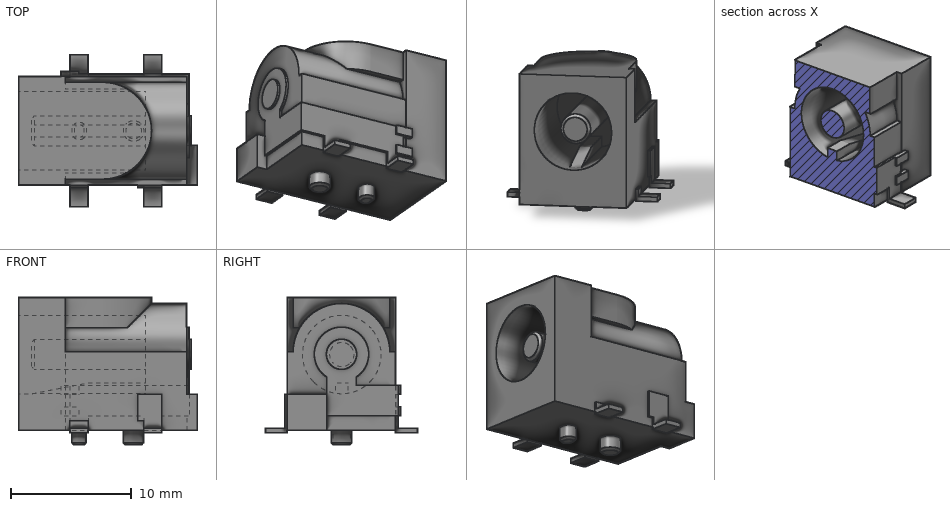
import cadquery as cq
import math


housing_width = 9.0
housing_height = 11.0
housing_length = 13.9
front_block_length = 3.87
contact_side_relief = 0.05
shelf_height = 6.5
barrel_radius = 4.0
nose_radius = barrel_radius
nose_center_x = 7.0
nose_underside = 8.5
half_width = housing_width / 2

lug_end_x = 14.8
lug_height = 3.0
lug_inner_y = -1.2

axis_height = 6.3
bore_radius = 6.5 / 2
bore_depth = 10.5
pin_radius = 2.5 / 2
pin_start_x = 1.05
pin_end_x = 14.3
pin_chamfer = 0.25

spring_width = 1.0
spring_start_x = 1.1
spring_angle = 11.0
spring_rise = 0.9

peg_length = 1.2
peg_chamfer = 0.2
front_peg_x = 5.0
front_peg_width = 1.2
front_peg_span = 1.45
rear_peg_x = 9.5
rear_peg_diameter = 1.7

strip_thickness = 0.2
foot_thickness = 0.4
foot_bottom = -0.2
foot_reach = 6.3
foot_width = 1.5
front_foot_x = 4.25
rear_foot_x = 10.35
leg_height = 0.8
wide_plate_x = 9.85

rear_disc_radius = 2.25
rear_arm_edge_y = -1.2
side_plate_bottom = 1.22
side_plate_top = 3.75
finger_start_x = 3.5
finger_end_x = 5.0
finger_height = 0.75
finger_thickness = 0.4


def box(x_range, y_range, z_range):
    """Axis-aligned box between the given limits."""
    size = [high - low for low, high in (x_range, y_range, z_range)]
    corner = (x_range[0], y_range[0], z_range[0])
    return cq.Workplane("XY").box(*size, centered=False).translate(corner)


def rod(radius, start_x, end_x, center_z):
    """Cylinder lying along X in the middle plane of the part."""
    return (
        cq.Workplane("YZ", origin=(start_x, 0, center_z))
        .circle(radius)
        .extrude(end_x - start_x)
    )


def make_housing():
    """Front block, nose, base and rear lug; the barrel axis lies at shelf height above the bore axis."""
    front_block = box((0, front_block_length), (-half_width, half_width), (0, housing_height))
    base = box(
        (front_block_length, housing_length),
        (-half_width, half_width - contact_side_relief),
        (0, shelf_height),
    )
    barrel = rod(barrel_radius, front_block_length, housing_length, shelf_height)
    nose_z = (nose_underside, housing_height)
    nose = box((front_block_length, nose_center_x), (-nose_radius, nose_radius), nose_z)
    nose_end = (
        cq.Workplane("XY", origin=(nose_center_x, 0, nose_underside))
        .circle(nose_radius)
        .extrude(housing_height - nose_underside)
    )
    lug = box((housing_length, lug_end_x), (-half_width, lug_inner_y), (0, lug_height))
    bore = rod(bore_radius, 0, bore_depth, axis_height)
    return front_block.union(base).union(barrel).union(nose).union(nose_end).union(lug).cut(bore)


def make_center_pin():
    """Centre pin with a chamfered tip, passing through to the rear."""
    return rod(pin_radius, pin_start_x, pin_end_x, axis_height).faces("<X").chamfer(pin_chamfer)


def make_spring():
    """Spring strip that ramps up out of the bore floor and then runs level to its back wall."""
    floor_z = axis_height - bore_radius
    root_z = floor_z - strip_thickness
    top_z = floor_z + spring_rise
    ramp_end_x = spring_start_x + spring_rise / math.tan(math.radians(spring_angle))
    return (
        cq.Workplane("XZ", origin=(0, spring_width / 2, 0))
        .moveTo(spring_start_x, root_z)
        .lineTo(spring_start_x, floor_z)
        .lineTo(ramp_end_x, top_z)
        .lineTo(bore_depth, top_z)
        .lineTo(bore_depth, root_z)
        .close()
        .extrude(spring_width)
    )


def make_pegs():
    """Oblong front peg and round rear peg, both chamfered at the tip."""
    front_peg = (
        cq.Workplane("XY", origin=(front_peg_x, 0, 0))
        .slot2D(front_peg_span, front_peg_width, 90)
        .extrude(-peg_length)
    )
    rear_peg = (
        cq.Workplane("XY", origin=(rear_peg_x, 0, 0))
        .circle(rear_peg_diameter / 2)
        .extrude(-peg_length)
    )
    return [peg.faces("<Z").chamfer(peg_chamfer) for peg in (front_peg, rear_peg)]


def make_terminal(start_x, leg_top, side, inner_y):
    """L-shaped terminal: a leg on the housing side and a foot reaching outwards."""
    x_range = (start_x, start_x + foot_width)
    leg_y = sorted((side * inner_y, side * (half_width + strip_thickness)))
    foot_y = sorted((side * inner_y, side * foot_reach))
    leg = box(x_range, leg_y, (foot_bottom, leg_top))
    foot = box(x_range, foot_y, (foot_bottom, foot_bottom + foot_thickness))
    return leg.union(foot)


def make_near_terminals():
    """Two terminals on the -Y side; the rear one widens into a plate."""
    front = make_terminal(front_foot_x, leg_height, -1, half_width)
    rear = make_terminal(rear_foot_x, lug_height, -1, half_width)
    plate = box(
        (wide_plate_x, rear_foot_x + foot_width),
        (-half_width - strip_thickness, -half_width),
        (leg_height, lug_height),
    )
    return [front, rear.union(plate)]


def make_far_contact():
    """Contact wrapping the pin at the rear and running forward along the +Y side."""
    inner_y = half_width - contact_side_relief
    outer_y = half_width + strip_thickness
    rear_x = (housing_length, housing_length + strip_thickness)
    plate_z = (side_plate_bottom, side_plate_top)
    contact = rod(rear_disc_radius, *rear_x, axis_height)
    contact = contact.union(
        box(rear_x, (rear_arm_edge_y, -rear_arm_edge_y), (side_plate_bottom, axis_height))
    )
    contact = contact.union(box(rear_x, (rear_arm_edge_y, outer_y), plate_z))
    contact = contact.union(box((front_foot_x, rear_x[1]), (inner_y, outer_y), plate_z))
    for finger_z in (side_plate_bottom, side_plate_top - finger_height):
        finger = box(
            (finger_start_x, finger_end_x),
            (half_width, half_width + finger_thickness),
            (finger_z, finger_z + finger_height),
        )
        contact = contact.union(finger)
    for foot_x in (front_foot_x, rear_foot_x):
        contact = contact.union(make_terminal(foot_x, side_plate_top, 1, inner_y))
    return contact


result = make_housing()
for piece in (
    make_center_pin(),
    make_spring(),
    *make_pegs(),
    *make_near_terminals(),
    make_far_contact(),
):
    result = result.union(piece)